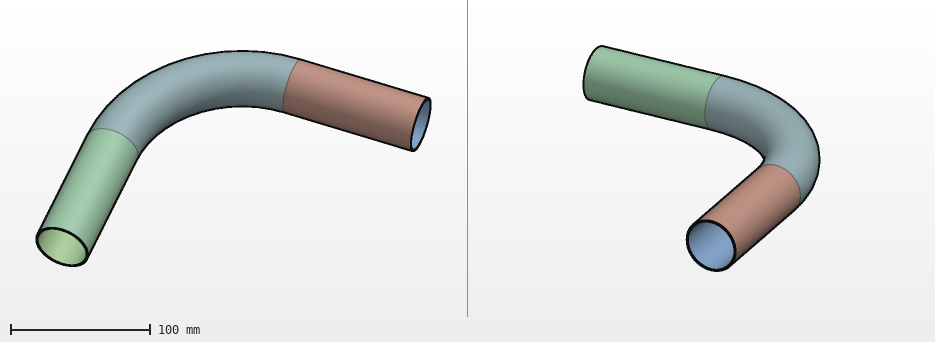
import cadquery as cq
import math

overall_length = 218.2
outer_diameter = 40.0
inner_diameter = 37.5
bend_radius = 100.0

leg_length = overall_length - outer_diameter / 2 - bend_radius

leg_end = bend_radius + leg_length
bend_middle = bend_radius * (1 - math.cos(math.radians(45)))


def centreline():
    return (
        cq.Workplane("XY")
        .moveTo(0, -leg_end)
        .lineTo(0, -bend_radius)
        .threePointArc((bend_middle, -bend_middle), (bend_radius, 0))
        .lineTo(leg_end, 0)
    )


result = (
    cq.Workplane("XZ", origin=(0, -leg_end, 0))
    .circle(outer_diameter / 2)
    .circle(inner_diameter / 2)
    .sweep(centreline())
)